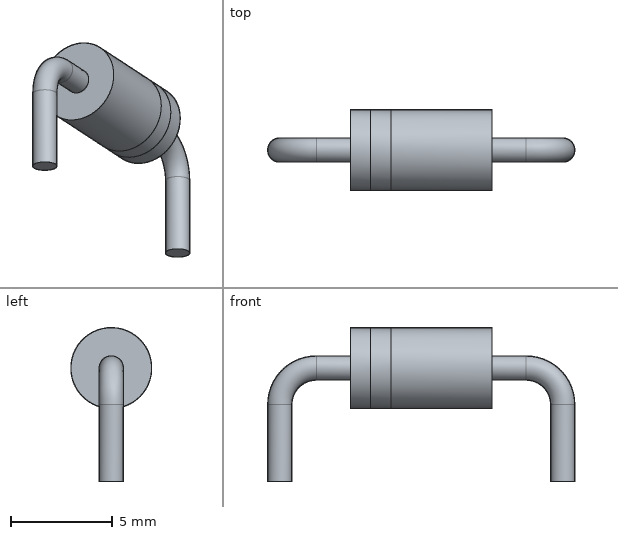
import cadquery as cq

body_diameter = 4.0
body_length = 7.0
band_width = 1.0
band_offset = 1.0

lead_diameter = 1.2
lead_pitch = 13.96
lead_drop = 5.6
bend_radius = 1.5 * lead_diameter

body_start = -body_length / 2
band_start = body_start + band_offset
band_end = band_start + band_width
body_end = body_length / 2


def package_slice(x_start, x_end):
    """Solid disc of the package between two stations along X."""
    return (
        cq.Workplane("YZ", origin=(x_start, 0, 0))
        .circle(body_diameter / 2)
        .extrude(x_end - x_start)
    )


def bent_lead(side):
    """Round wire from the end face, bent down; side is -1 for -X or +1 for +X."""
    face_x = side * body_length / 2
    pin_x = side * lead_pitch / 2
    bend_x = pin_x - side * bend_radius
    path = (
        cq.Workplane("XZ")
        .moveTo(face_x, 0)
        .lineTo(bend_x, 0)
        .tangentArcPoint((pin_x, -bend_radius), relative=False)
        .lineTo(pin_x, -lead_drop)
    )
    return cq.Workplane("YZ", origin=(face_x, 0, 0)).circle(lead_diameter / 2).sweep(path)


end_cap = package_slice(body_start, band_start)
cathode_band = package_slice(band_start, band_end)
main_body = package_slice(band_end, body_end)
leads = [bent_lead(side) for side in (-1, 1)]

result = cq.Compound.makeCompound([
    end_cap.val(),
    cathode_band.val(),
    main_body.val(),
    *[lead.val() for lead in leads],
])